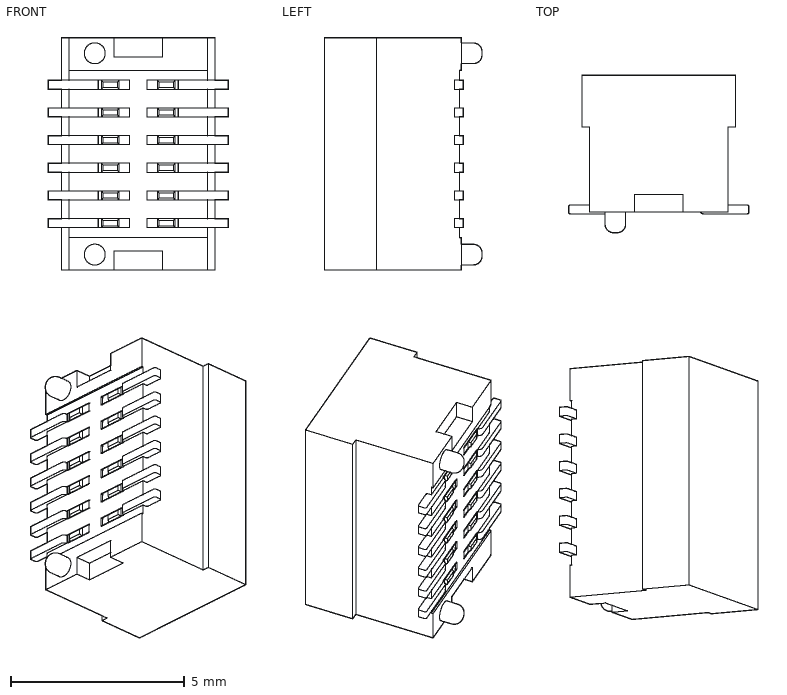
import cadquery as cq


height = 6.7
housing_depth = 3.95
flange_width = 4.43
flange_depth = 1.5
core_width = 4.0

recess_height = 4.825
recess_depth = 0.055

notch_width = 1.4
notch_height = 0.55
notch_depth = 0.5

pin_x = -1.25
pin_z = 2.9
pin_radius = 0.3
pin_length = 0.595
pin_round = 0.255

rows = 6
pitch = 0.8
contact_span = 5.2
contact_width = 0.26
contact_thickness = 0.26
foot_standoff = 0.055
tip_round = 0.05
heel_x = 1.24
bend_end_x = 1.15
bend_round = 0.11
tail_end_x = 0.25
tail_sink = 0.02
tail_round = 0.08

pad_outer_x = 1.065
pad_inner_x = 0.55
pad_rise = 0.075
pad_side_inset = 0.05
pad_edge_inset = 0.055

foot_y = -foot_standoff
tail_y = recess_depth + tail_sink


def block(x_min, x_max, y_min, y_max, z_size, z_center=0.0):
    """Box given by its X and Y limits and centred on z_center."""
    return (
        cq.Workplane("XY", origin=(0, 0, z_center - z_size / 2))
        .moveTo(x_min, y_min)
        .lineTo(x_max, y_min)
        .lineTo(x_max, y_max)
        .lineTo(x_min, y_max)
        .close()
        .extrude(z_size)
    )


def make_housing():
    core = block(-core_width / 2, core_width / 2, 0, housing_depth, height)
    flange = block(
        -flange_width / 2, flange_width / 2, housing_depth - flange_depth, housing_depth, height
    )
    recess = block(-core_width / 2, core_width / 2, 0, recess_depth, recess_height)
    housing = core.union(flange).cut(recess)
    for side in (-1, 1):
        notch_z = side * (height - notch_height) / 2
        housing = housing.cut(
            block(-notch_width / 2, notch_width / 2, 0, notch_depth, notch_height, notch_z)
        )
    return housing


def make_pin(z):
    """Locating pin with a rounded end, rooted in the mounting face."""
    return (
        cq.Workplane("XZ", origin=(pin_x, 0, z))
        .circle(pin_radius)
        .extrude(pin_length)
        .faces("<Y")
        .edges()
        .fillet(pin_round)
    )


def make_tail_slot():
    """Slot in the recess floor that takes the tail of a left-hand contact."""
    return block(-bend_end_x, -tail_end_x, 0, tail_y + tail_round, contact_width)


def make_pad():
    """Raised pad: a low truncated pyramid as wide as the contact at its base."""
    length = pad_outer_x - pad_inner_x
    pad_x = -(pad_outer_x + pad_inner_x) / 2
    return (
        cq.Workplane("XZ", origin=(pad_x, tail_y, 0))
        .rect(length, contact_width)
        .workplane(offset=pad_rise)
        .rect(length - 2 * pad_side_inset, contact_width - 2 * pad_edge_inset)
        .loft(combine=True)
    )


def make_contact():
    """Left-hand contact at Z = 0: foot, bend into the housing, tail and pad."""
    tip_x = contact_span / 2
    foot_back_y = foot_y + contact_thickness
    tail_back_y = tail_y + contact_thickness
    bar = (
        cq.Workplane("XY", origin=(0, 0, -contact_width / 2))
        .moveTo(-tip_x, foot_y)
        .lineTo(-heel_x, foot_y)
        .lineTo(-bend_end_x, tail_y)
        .lineTo(-tail_end_x, tail_y)
        .lineTo(-tail_end_x, tail_back_y)
        .lineTo(-heel_x, tail_back_y)
        .lineTo(-heel_x, foot_back_y)
        .lineTo(-tip_x, foot_back_y)
        .close()
        .extrude(contact_width)
    )
    bar = bar.faces("<X").edges("|Z").fillet(tip_round)
    bar = bar.faces("<Y").edges("|Z and >X").fillet(bend_round)
    bar = bar.faces(">X").edges("|Z and <Y").fillet(tail_round)
    return bar.union(make_pad())


left_slot = make_tail_slot()
left_contact = make_contact()
slots = (left_slot, left_slot.mirror("YZ"))
contacts = (left_contact, left_contact.mirror("YZ"))
row_heights = [(row - (rows - 1) / 2) * pitch for row in range(rows)]

result = make_housing()
for z in (-pin_z, pin_z):
    result = result.union(make_pin(z))
for z in row_heights:
    for slot, contact in zip(slots, contacts):
        result = result.cut(slot.translate((0, 0, z)))
        result = result.union(contact.translate((0, 0, z)))